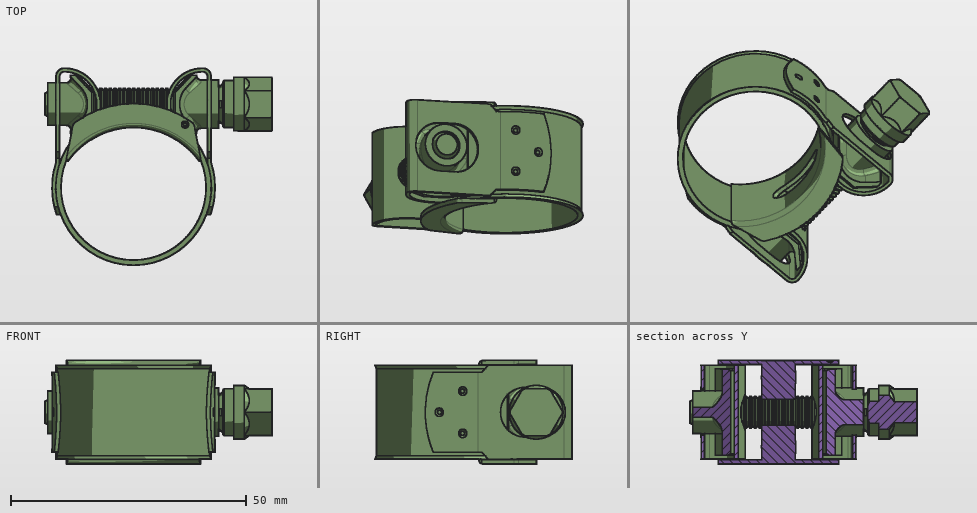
import cadquery as cq
import math


sheet = 0.8
band_half_width = 10.0
ring_inner_r = 15.4
ring_outer_r = ring_inner_r + sheet
lip_r = 16.54
lip_height = 0.75

bolt_y = 17.75
loop_outer_r = 7.66
loop_inner_r = loop_outer_r - sheet
loop_reach = ring_inner_r + loop_outer_r
loop_x = math.sqrt(loop_reach**2 - bolt_y**2)
loop_top_y = bolt_y + loop_outer_r

leg_outer_x = 16.5
leg_inner_x = leg_outer_x - sheet
leg_corner_r = leg_outer_x - loop_x

strap_outer_r = 17.35
strap_inner_r = strap_outer_r - sheet
strap_half_width = 8.5
strap_end_y = -5.82
strap_end_side_y = -4.13
narrowing_top_y = 7.57
narrowing_bottom_y = 6.2

leg_slot_length = 13.75
leg_slot_width = 10.6
leg_slot_y = 17.05
loop_hole_r = 3.7

weld_positions = [(2.15, 4.5), (2.15, -4.5), (-2.85, 0.0)]
weld_r = 0.9
weld_tip_r = 0.45
weld_depth = 0.4
weld_overlap = 0.05
strap_trim = 0.5

bridge_half_height = 11.05
bridge_sheet = 0.95
flange_bottom_z = bridge_half_height - bridge_sheet
bridge_inner_r = 17.2
bridge_inner_y = 12.77
flange_outer_r = 21.2
flange_crest_y = 17.9
flange_corner_x = 12.85
flange_corner_r = 1.5
flange_foot = (14.28, 6.15)
floor_foot_x = 14.0
bridge_slot_length = 14.0
bridge_slot_width = 5.5
bridge_mark_x = 10.95
bridge_mark_y = 13.4
bridge_mark_r = 0.75
bridge_mark_tip_r = 0.35
bridge_mark_depth = 0.35

saddle_half_height = 9.2
saddle_edge_chamfer = 0.4
saddle_tip_half = 6.15
saddle_tip_outer_x = 11.8
saddle_tip_inner_x = 13.45
saddle_face_x = 8.45
saddle_face_half = 2.65
saddle_hollow_x = 9.8
saddle_shoulder = 0.3
sleeve_fillet = 0.9
selection_margin = 0.1
nut_sleeve_r = 4.55
nut_sleeve_end_x = 18.28
plain_sleeve_r = 5.16
plain_sleeve_end_x = 18.1

bolt_tip_x = -18.87
bolt_tip_r = 2.3
bolt_tip_taper = 1.4
bolt_end_r = 3.0
thread_r = 3.4
thread_root_r = 2.9
thread_pitch = 1.0
thread_crest = 0.25
thread_start_x = -saddle_face_x
shank_start_x = saddle_face_x
thread_turns = math.ceil(2 * saddle_face_x / thread_pitch) - 1
neck_r = 3.6
neck_top_r = 4.3
neck_length = 0.85
collar_r = 5.02
collar_edge = 0.35
collar_end_x = 21.3
flange_end_x = 23.56
flange_taper = 1.05
hex_across_flats = 9.92
hex_corner_r = hex_across_flats / 2 / math.cos(math.pi / 6)
flange_r = hex_corner_r
head_end_x = 29.48
head_end_chamfer = 0.2
lug_count = 4
lug_start_gap = 0.15
lug_length = 0.5
lug_width = 1.5
lug_tip_r = 4.05


def ring_point(radius, angle):
    return (radius * math.cos(angle), radius * math.sin(angle))


def along_z(sketch, half_height):
    return sketch.extrude(half_height, both=True)


def circle_y(radius, x, centre_y=0):
    """Y of the upper half of a circle centred at (0, centre_y)."""
    return centre_y + math.sqrt(radius**2 - x**2)


def mirrored(body):
    return body.mirror("YZ")


joint_angle = math.atan2(bolt_y, loop_x)
bottom_angle = -math.pi / 2


def ring_sector(inner_r, outer_r, half_height):
    """Ring that stays open at the top between the two loops."""
    left = math.pi - joint_angle
    sketch = (
        cq.Workplane("XY")
        .moveTo(*ring_point(inner_r, joint_angle))
        .threePointArc(ring_point(inner_r, bottom_angle), ring_point(inner_r, left))
        .lineTo(*ring_point(outer_r, left))
        .threePointArc(ring_point(outer_r, bottom_angle), ring_point(outer_r, joint_angle))
        .close()
    )
    return along_z(sketch, half_height)


def flared_ring():
    ring = ring_sector(ring_inner_r, lip_r, band_half_width)
    waist_z = band_half_width - lip_height
    waist = (
        cq.Workplane("XZ")
        .moveTo(ring_outer_r, -waist_z)
        .lineTo(lip_r, -band_half_width)
        .lineTo(strap_outer_r, -band_half_width)
        .lineTo(strap_outer_r, band_half_width)
        .lineTo(lip_r, band_half_width)
        .lineTo(ring_outer_r, waist_z)
        .close()
        .revolve(360, (0, 0, 0), (0, 1, 0))
    )
    return ring.cut(waist)


def loop_strip():
    """Strip of the +X side: around the trunnion, down the leg and over the ring."""
    toward_ring = joint_angle + math.pi
    middle = (math.pi / 2 + toward_ring) / 2

    def on_loop(radius, angle):
        x, y = ring_point(radius, angle)
        return (loop_x + x, bolt_y + y)

    corner_centre_y = loop_top_y - leg_corner_r
    corner_inner_r = leg_corner_r - sheet

    def corner_middle(radius):
        x, y = ring_point(radius, math.pi / 4)
        return (loop_x + x, corner_centre_y + y)

    end_y = strap_end_y - strap_trim
    strap_end_outer_x = math.sqrt(strap_outer_r**2 - end_y**2)
    strap_end_inner_x = math.sqrt(strap_inner_r**2 - end_y**2)
    sketch = (
        cq.Workplane("XY")
        .moveTo(*on_loop(loop_outer_r, toward_ring))
        .threePointArc(on_loop(loop_outer_r, middle), (loop_x, loop_top_y))
        .threePointArc(corner_middle(leg_corner_r), (leg_outer_x, corner_centre_y))
        .lineTo(leg_outer_x, circle_y(strap_outer_r, leg_outer_x))
        .threePointArc((strap_outer_r, 0), (strap_end_outer_x, end_y))
        .lineTo(strap_end_inner_x, end_y)
        .threePointArc((strap_inner_r, 0), (leg_inner_x, circle_y(strap_inner_r, leg_inner_x)))
        .lineTo(leg_inner_x, corner_centre_y)
        .threePointArc(corner_middle(corner_inner_r), (loop_x, loop_top_y - sheet))
        .threePointArc(on_loop(loop_inner_r, middle), on_loop(loop_inner_r, toward_ring))
        .close()
    )
    strip = along_z(sketch, band_half_width)
    strip = strip.intersect(strip_outline())
    strip = strip.cut(leg_slot()).cut(loop_hole())
    return weld_dimples(strip)


def strip_outline():
    """Width of the strip along its height: band wide, narrowed at the strap, rounded at its end."""
    outline = (
        cq.Workplane("YZ")
        .moveTo(loop_top_y, band_half_width)
        .lineTo(narrowing_top_y, band_half_width)
        .lineTo(narrowing_bottom_y, strap_half_width)
        .lineTo(strap_end_side_y, strap_half_width)
        .threePointArc((strap_end_y, 0), (strap_end_side_y, -strap_half_width))
        .lineTo(narrowing_bottom_y, -strap_half_width)
        .lineTo(narrowing_top_y, -band_half_width)
        .lineTo(loop_top_y, -band_half_width)
        .close()
    )
    return outline.extrude(strap_outer_r)


def leg_slot():
    return (
        cq.Workplane("YZ", origin=(loop_x, 0, 0))
        .center(leg_slot_y, 0)
        .slot2D(leg_slot_length, leg_slot_width)
        .extrude(strap_outer_r - loop_x)
    )


def loop_hole():
    """Clearance for the bolt where the loop turns toward the clamp middle."""
    return cq.Workplane("YZ").center(bolt_y, 0).circle(loop_hole_r).extrude(loop_x)


def weld_cone(angle, z, start_r, depth):
    """Cone that narrows toward the ring axis, starting at the given radius."""
    inward = cq.Vector(-math.cos(angle), -math.sin(angle), 0)
    start = cq.Vector(0, 0, z) - inward * start_r
    return cq.Workplane(cq.Solid.makeCone(weld_r, weld_tip_r, depth, start, inward))


def weld_dimples(strip):
    """Cones pressed in from outside that reach through to the ring."""
    stud_start_r = strap_outer_r - weld_depth
    stud_length = stud_start_r - ring_outer_r + weld_overlap
    for y, z in weld_positions:
        angle = math.asin(y / strap_outer_r)
        stud = weld_cone(angle, z, stud_start_r, stud_length)
        recess = weld_cone(angle, z, strap_outer_r, weld_depth)
        strip = strip.union(stud).cut(recess)
    return strip


right_loop = loop_strip()
band = flared_ring().union(right_loop).union(mirrored(right_loop))


def make_bridge():
    inner_centre_y = bridge_inner_y - bridge_inner_r
    outer_centre_y = flange_crest_y - flange_outer_r
    foot_x, foot_y = flange_foot
    corner_y = circle_y(flange_outer_r, flange_corner_x, outer_centre_y)
    floor_foot_y = circle_y(bridge_inner_r, floor_foot_x, inner_centre_y)
    sketch = (
        cq.Workplane("XY")
        .moveTo(-foot_x, foot_y)
        .lineTo(-flange_corner_x, corner_y)
        .threePointArc((0, flange_crest_y), (flange_corner_x, corner_y))
        .lineTo(foot_x, foot_y)
        .lineTo(floor_foot_x, floor_foot_y)
        .threePointArc((0, bridge_inner_y), (-floor_foot_x, floor_foot_y))
        .close()
    )
    block = along_z(sketch, bridge_half_height)
    for side in (-1, 1):
        corner = cq.selectors.NearestToPointSelector((side * flange_corner_x, corner_y, 0))
        block = block.edges(corner).fillet(flange_corner_r)
    for side in (-1, 1):
        bend_edge = cq.selectors.NearestToPointSelector((0, floor_foot_y, side * bridge_half_height))
        block = block.edges(bend_edge).fillet(bridge_sheet)

    channel = (
        cq.Workplane("XY")
        .circle(flange_outer_r * 2)
        .extrude(flange_bottom_z, both=True)
    )
    floor = (
        cq.Workplane("XY")
        .center(0, inner_centre_y)
        .circle(bridge_inner_r + bridge_sheet)
        .extrude(flange_bottom_z, both=True)
        .intersect(cq.Workplane("XY").circle(ring_inner_r).extrude(flange_bottom_z, both=True))
    )
    slot = (
        cq.Workplane("XZ")
        .slot2D(bridge_slot_length, bridge_slot_width)
        .extrude(-flange_crest_y)
    )
    mark = cq.Workplane(
        cq.Solid.makeCone(
            bridge_mark_r,
            bridge_mark_tip_r,
            bridge_mark_depth,
            cq.Vector(bridge_mark_x, bridge_mark_y, bridge_half_height),
            cq.Vector(0, 0, -1),
        )
    )
    return block.cut(channel.cut(floor)).cut(slot).cut(mark)


bridge = make_bridge()


def saddle_front():
    """Front outline of the saddle: a flat face between two slanted ones."""
    return (
        cq.Workplane("XY", origin=(0, bolt_y, 0))
        .moveTo(saddle_tip_outer_x, saddle_tip_half)
        .lineTo(saddle_face_x, saddle_face_half)
        .lineTo(saddle_face_x, -saddle_face_half)
        .lineTo(saddle_tip_outer_x, -saddle_tip_half)
    )


def make_trunnion(sleeve_r, sleeve_end_x, bore_r):
    """Trunnion of the +X side, drawn about the bolt axis."""
    shoulder_half = saddle_tip_half - saddle_shoulder
    slant = math.atan2(saddle_tip_outer_x - saddle_face_x, saddle_tip_half - saddle_face_half)
    hollow_depth = saddle_tip_inner_x - saddle_hollow_x
    hollow_r = (shoulder_half * math.tan(slant) - hollow_depth) / (1 / math.cos(slant) - 1)
    bend_x = saddle_hollow_x + hollow_r * (1 - math.cos(slant))
    bend_half = hollow_r * math.sin(slant)
    sketch = (
        saddle_front()
        .lineTo(saddle_tip_inner_x, -saddle_tip_half)
        .lineTo(saddle_tip_inner_x, -shoulder_half)
        .lineTo(bend_x, -bend_half)
        .threePointArc((saddle_hollow_x, 0), (bend_x, bend_half))
        .lineTo(saddle_tip_inner_x, shoulder_half)
        .lineTo(saddle_tip_inner_x, saddle_tip_half)
        .close()
    )
    saddle = along_z(sketch, saddle_half_height)
    mean_x = (saddle_face_x + saddle_tip_outer_x) / 2
    mean_y = (saddle_face_half + saddle_tip_half) / 2
    for side in (-1, 1):
        z = side * saddle_half_height
        for x, y in [(saddle_face_x, 0), (mean_x, mean_y), (mean_x, -mean_y)]:
            front_edge = cq.selectors.NearestToPointSelector((x, bolt_y + y, z))
            saddle = saddle.edges(front_edge).chamfer(saddle_edge_chamfer)

    behind_front = along_z(
        saddle_front()
        .lineTo(sleeve_end_x, -saddle_tip_half)
        .lineTo(sleeve_end_x, saddle_tip_half)
        .close(),
        saddle_half_height,
    )
    cylinder = cq.Workplane("YZ", origin=(0, bolt_y, 0)).circle(sleeve_r).extrude(sleeve_end_x)
    sleeve = cylinder.intersect(behind_front)
    trunnion = saddle.union(sleeve)
    reach = sleeve_r + selection_margin
    root_edges = cq.selectors.BoxSelector(
        (saddle_face_x, bolt_y - reach, -reach),
        (saddle_tip_inner_x, bolt_y + reach, reach),
        boundingbox=True,
    )
    trunnion = trunnion.edges(root_edges).fillet(sleeve_fillet)
    bore = cq.Workplane("YZ", origin=(0, bolt_y, 0)).circle(bore_r).extrude(sleeve_end_x)
    return trunnion.cut(bore)


nut_trunnion = mirrored(make_trunnion(nut_sleeve_r, nut_sleeve_end_x, bolt_end_r))
plain_trunnion = make_trunnion(plain_sleeve_r, plain_sleeve_end_x, thread_r)


def bolt_body():
    """Turned body: end pin, ring-shaped thread ridges, shank, neck, collar and flange."""
    neck_start_x = plain_sleeve_end_x
    neck_end_x = neck_start_x + neck_length
    outline = (
        cq.Workplane("XY", origin=(0, bolt_y, 0))
        .moveTo(bolt_tip_x, 0)
        .lineTo(bolt_tip_x, bolt_tip_r)
        .lineTo(bolt_tip_x + bolt_tip_taper, bolt_end_r)
        .lineTo(thread_start_x, bolt_end_r)
        .lineTo(thread_start_x, thread_root_r)
    )
    flank = (thread_pitch - thread_crest) / 2
    for turn in range(thread_turns):
        ridge_x = thread_start_x + turn * thread_pitch
        outline = (
            outline
            .lineTo(ridge_x + flank, thread_r)
            .lineTo(ridge_x + flank + thread_crest, thread_r)
            .lineTo(ridge_x + thread_pitch, thread_root_r)
        )
    outline = (
        outline
        .lineTo(shank_start_x, thread_root_r)
        .lineTo(shank_start_x, thread_r)
        .lineTo(neck_start_x, thread_r)
        .lineTo(neck_start_x, neck_r)
        .lineTo(neck_end_x, neck_top_r)
        .lineTo(neck_end_x, collar_r - collar_edge)
        .lineTo(neck_end_x + collar_edge, collar_r)
        .lineTo(collar_end_x, collar_r)
        .lineTo(collar_end_x, flange_r)
        .lineTo(flange_end_x, flange_r)
        .lineTo(flange_end_x + flange_taper, hex_across_flats / 2)
        .lineTo(flange_end_x + flange_taper, 0)
        .close()
    )
    return outline.revolve(360, (0, 0, 0), (1, 0, 0))


def hex_head():
    """Hexagon with flats facing up and down, its end corners bevelled."""
    length = head_end_x - flange_end_x
    head = (
        cq.Workplane("YZ", origin=(flange_end_x, bolt_y, 0))
        .polygon(6, 2 * hex_corner_r)
        .extrude(length)
    )
    bevel = (
        cq.Workplane("YZ", origin=(flange_end_x, bolt_y, 0))
        .circle(hex_corner_r)
        .extrude(length)
        .faces(">X")
        .chamfer(head_end_chamfer)
    )
    return head.intersect(bevel)


def neck_lug(index):
    start_x = plain_sleeve_end_x + lug_start_gap
    lug = (
        cq.Workplane("XY", origin=(start_x, bolt_y, 0))
        .rect(lug_length, lug_tip_r, centered=False)
        .extrude(lug_width / 2, both=True)
    )
    return lug.rotate((0, bolt_y, 0), (1, bolt_y, 0), index * 360 / lug_count)


bolt = bolt_body().union(hex_head())
for lug_index in range(lug_count):
    bolt = bolt.union(neck_lug(lug_index))

bodies = [band, bridge, nut_trunnion, plain_trunnion, bolt]
result = cq.Compound.makeCompound([body.solids().val() for body in bodies])